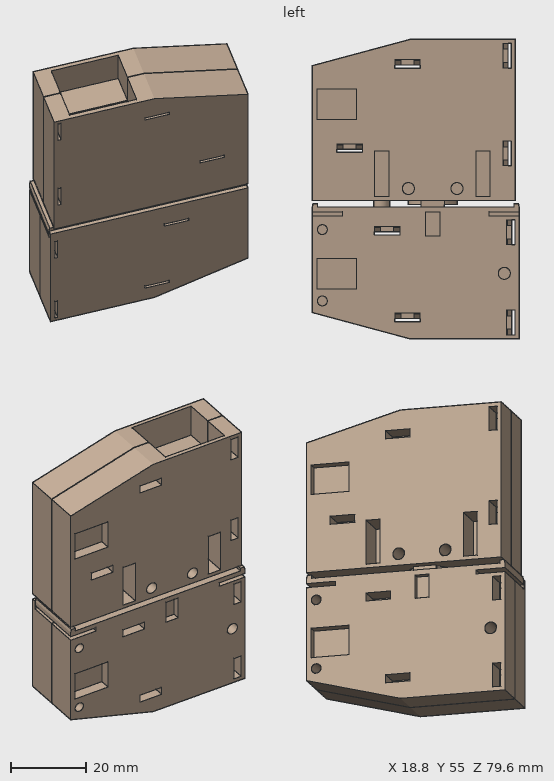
import cadquery as cq


WIDTH = 18.8
DEPTH = 55.0
HEIGHT = 79.6
SPLIT_GAP = 0.15
CENTER_X = WIDTH / 2
LEFT_END = CENTER_X - SPLIT_GAP / 2
RIGHT_START = CENTER_X + SPLIT_GAP / 2
LOWER_TOP = 35.1
UPPER_BOTTOM = 36.8
UPPER_FRONT = 1.0
SLOPE_RUN = 26.0
SLOPE_RISE = 7.0

POCKET_WALL = 1.2
POCKET_FRONT = 5.7
POCKET_BACK = 24.35
POCKET_DEPTH = 9.3

WINDOW_LENGTH = 10.5
WINDOW_HEIGHT = 8.1
WINDOW_DEPTH = 3.0
WINDOW_BACK_MARGIN = 1.3
UPPER_WINDOW_BOTTOM = 58.3
LOWER_WINDOW_BOTTOM = 13.2
TALL_SLOT_WIDTH = 3.8
TALL_SLOT_HEIGHT = 12.1
TALL_SLOT_BOTTOM = 37.8
TALL_SLOT_CENTERS_Y = (36.5, 9.6)
NICHE_HEIGHT = 6.4
NICHE_TOP = 33.7
NICHE_DEPTH = 2.0

BIG_HOLE_DIAMETER = 3.2
SMALL_HOLE_DIAMETER = 2.6
UPPER_BIG_HOLES = ((29.45, 39.95), (16.55, 39.95))
LOWER_BIG_HOLES = ((4.0, 17.4),)
LOWER_SMALL_HOLES = ((52.3, 29.05), (52.3, 10.1))

FLAT_SNAP_LENGTH = 6.8
UPRIGHT_SNAP_LENGTH = 6.5
SNAP_WIDTH = 2.2
BARB_THICKNESS = 1.4
BARB_REACH = 3.0
BARB_TIP = 0.2
FLAT_RAMP_RUN = 1.2
UPRIGHT_RAMP_RUN = 1.75
BARB_RIB_LENGTH = 3.5
UPPER_FLAT_SNAPS = ((29.7, 73.1), (45.05, 50.7))
UPPER_UPRIGHT_SNAPS = ((3.3, 75.2), (3.3, 49.3))
LOWER_FLAT_SNAPS = ((35.1, 28.7), (29.7, 5.7))
LOWER_UPRIGHT_SNAPS = ((2.3, 28.3), (2.3, 4.4))

CLEARANCE = 0.2
SIDE_WALL = 1.1
PLATE_END = WIDTH - SIDE_WALL
SLIT_BOTTOM = 32.6
SLIT_TOP = 33.75
SLIT_DEPTH = 8.0
LIP_TOP = 36.0
LIP_BACK = 1.4
LIP_LEAN = 0.2

KEY_LENGTH = 13.8
KEY_WIDTH = 6.2
KEY_Y = 23.0
DISC_DIAMETER = 13.05
DISC_BOTTOM = 35.7
POST_DIAMETER = 4.3
POST_Y = 36.5


def box(x, y, z):
    """Box between the two limits given for each axis."""
    size = (x[1] - x[0], y[1] - y[0], z[1] - z[0])
    return cq.Workplane("XY").box(*size, centered=False).translate((x[0], y[0], z[0]))


def extrude_side(points, x):
    """Prism along X from a (y, z) outline."""
    return cq.Workplane("YZ").polyline(points).close().extrude(x[1] - x[0]).translate((x[0], 0, 0))


def extrude_front(points, y):
    """Prism along Y from an (x, z) outline."""
    outline = cq.Workplane("XZ").polyline(points).close()
    return outline.extrude(y[0] - y[1]).translate((0, y[0], 0))


def upper_block(x):
    outline = [
        (UPPER_FRONT, UPPER_BOTTOM),
        (DEPTH, UPPER_BOTTOM),
        (DEPTH, HEIGHT - SLOPE_RISE),
        (DEPTH - SLOPE_RUN, HEIGHT),
        (UPPER_FRONT, HEIGHT),
    ]
    pocket = box(
        (POCKET_WALL, WIDTH - POCKET_WALL),
        (POCKET_FRONT, POCKET_BACK),
        (HEIGHT - POCKET_DEPTH, HEIGHT),
    )
    return extrude_side(outline, x).cut(pocket)


def lower_block(x):
    outline = [
        (0, 0),
        (DEPTH - SLOPE_RUN, 0),
        (DEPTH, SLOPE_RISE),
        (DEPTH, LOWER_TOP),
        (0, LOWER_TOP),
    ]
    return extrude_side(outline, x)


def window(bottom):
    back = DEPTH - WINDOW_BACK_MARGIN
    return box((0, WINDOW_DEPTH), (back - WINDOW_LENGTH, back), (bottom, bottom + WINDOW_HEIGHT))


def side_holes(centers, diameter):
    return cq.Workplane("YZ").pushPoints(centers).circle(diameter / 2).extrude(LEFT_END)


def place_flat(shape, center):
    """Move a snap shape modelled around the X axis to its (y, z) center."""
    return shape.translate((0, *center))


def place_upright(shape, center):
    """Turn a flat snap shape upright, its free side toward the front, and place it."""
    return place_flat(shape.rotate((0, 0, 0), (1, 0, 0), -90), center)


def centered_range(length):
    return (-length / 2, length / 2)


def snap_slot(length):
    return box((0, LEFT_END), centered_range(length), centered_range(SNAP_WIDTH))


def snap_gap(length):
    """Opening through the right shell, beside the barb."""
    bottom = -SNAP_WIDTH / 2
    opening = (bottom, bottom + SNAP_WIDTH - BARB_THICKNESS)
    return box((RIGHT_START, WIDTH), centered_range(length), opening)


def barb(length, ramp_run):
    """Wedge whose ramp spans ramp_run along X, and a square-ended rib at its middle."""
    tip_x = RIGHT_START - BARB_REACH
    top = SNAP_WIDTH / 2
    bottom = top - BARB_THICKNESS
    wedge_outline = [
        (RIGHT_START, top),
        (tip_x, top),
        (tip_x, top - BARB_TIP),
        (tip_x + ramp_run, bottom),
        (RIGHT_START, bottom),
    ]
    wedge = extrude_front(wedge_outline, centered_range(length))
    rib = box((tip_x, RIGHT_START), centered_range(BARB_RIB_LENGTH), (bottom, top))
    return wedge.union(rib)


def cut_snap_slots(shell, flat_centers, upright_centers):
    for center in flat_centers:
        shell = shell.cut(place_flat(snap_slot(FLAT_SNAP_LENGTH), center))
    for center in upright_centers:
        shell = shell.cut(place_upright(snap_slot(UPRIGHT_SNAP_LENGTH), center))
    return shell


def add_barbs(shell, flat_centers, upright_centers):
    for center in flat_centers:
        shell = shell.cut(place_flat(snap_gap(FLAT_SNAP_LENGTH), center))
        shell = shell.union(place_flat(barb(FLAT_SNAP_LENGTH, FLAT_RAMP_RUN), center))
    for center in upright_centers:
        shell = shell.cut(place_upright(snap_gap(UPRIGHT_SNAP_LENGTH), center))
        shell = shell.union(place_upright(barb(UPRIGHT_SNAP_LENGTH, UPRIGHT_RAMP_RUN), center))
    return shell


def make_upper_left_shell():
    shell = upper_block((0, LEFT_END)).cut(window(UPPER_WINDOW_BOTTOM))
    for center_y in TALL_SLOT_CENTERS_Y:
        slot_y = (center_y - TALL_SLOT_WIDTH / 2, center_y + TALL_SLOT_WIDTH / 2)
        slot_z = (TALL_SLOT_BOTTOM, TALL_SLOT_BOTTOM + TALL_SLOT_HEIGHT)
        shell = shell.cut(box((0, LEFT_END), slot_y, slot_z))
    shell = shell.cut(side_holes(UPPER_BIG_HOLES, BIG_HOLE_DIAMETER))
    return cut_snap_slots(shell, UPPER_FLAT_SNAPS, UPPER_UPRIGHT_SNAPS)


def make_upper_right_shell():
    shell = upper_block((RIGHT_START, WIDTH))
    return add_barbs(shell, UPPER_FLAT_SNAPS, UPPER_UPRIGHT_SNAPS)


def front_finger():
    """Springy strip above the front slit, with a lip whose front face leans back."""
    finger_outline = [
        (0, SLIT_TOP),
        (0, LOWER_TOP),
        (LIP_LEAN, LIP_TOP),
        (LIP_BACK, LIP_TOP),
        (LIP_BACK, LOWER_TOP),
        (SLIT_DEPTH, LOWER_TOP),
        (SLIT_DEPTH, SLIT_TOP),
    ]
    return extrude_side(finger_outline, (0, PLATE_END - CLEARANCE))


def front_clearance():
    """Space at the front that is emptied before the finger is put back."""
    return box((0, PLATE_END), (0, SLIT_DEPTH), (SLIT_BOTTOM, LOWER_TOP))


def mirror_to_back(shape):
    return shape.mirror("XZ", (0, DEPTH / 2, 0))


def coupling():
    """Key bar with a disc around it, and a round post behind."""
    key = box(
        (CENTER_X - KEY_LENGTH / 2, CENTER_X + KEY_LENGTH / 2),
        (KEY_Y - KEY_WIDTH / 2, KEY_Y + KEY_WIDTH / 2),
        (LOWER_TOP, UPPER_BOTTOM),
    )
    disc = cq.Workplane("XY", origin=(CENTER_X, KEY_Y, DISC_BOTTOM)).circle(DISC_DIAMETER / 2)
    post = cq.Workplane("XY", origin=(CENTER_X, POST_Y, LOWER_TOP)).circle(POST_DIAMETER / 2)
    disc = disc.extrude(UPPER_BOTTOM - DISC_BOTTOM)
    post = post.extrude(UPPER_BOTTOM - LOWER_TOP)
    return key.union(disc).union(post)


def make_lower_left_shell():
    plate = box((LEFT_END, PLATE_END), (0, DEPTH), (SLIT_BOTTOM + CLEARANCE, LOWER_TOP))
    shell = lower_block((0, LEFT_END)).union(plate)
    shell = shell.cut(front_clearance()).cut(mirror_to_back(front_clearance()))
    shell = shell.union(front_finger()).union(mirror_to_back(front_finger()))
    shell = shell.union(coupling())
    niche_y = (KEY_Y - TALL_SLOT_WIDTH / 2, KEY_Y + TALL_SLOT_WIDTH / 2)
    niche = box((0, NICHE_DEPTH), niche_y, (NICHE_TOP - NICHE_HEIGHT, NICHE_TOP))
    shell = shell.cut(window(LOWER_WINDOW_BOTTOM)).cut(niche)
    shell = shell.cut(side_holes(LOWER_BIG_HOLES, BIG_HOLE_DIAMETER))
    shell = shell.cut(side_holes(LOWER_SMALL_HOLES, SMALL_HOLE_DIAMETER))
    return cut_snap_slots(shell, LOWER_FLAT_SNAPS, LOWER_UPRIGHT_SNAPS)


def make_lower_right_shell():
    plate_recess = box((RIGHT_START, PLATE_END), (0, DEPTH), (SLIT_BOTTOM, LOWER_TOP))
    shell = lower_block((RIGHT_START, WIDTH)).cut(plate_recess)
    return add_barbs(shell, LOWER_FLAT_SNAPS, LOWER_UPRIGHT_SNAPS)


upper_left_shell = make_upper_left_shell()
upper_right_shell = make_upper_right_shell()
lower_left_shell = make_lower_left_shell()
lower_right_shell = make_lower_right_shell()

result = cq.Compound.makeCompound(
    [
        upper_left_shell.val(),
        upper_right_shell.val(),
        lower_left_shell.val(),
        lower_right_shell.val(),
    ]
)